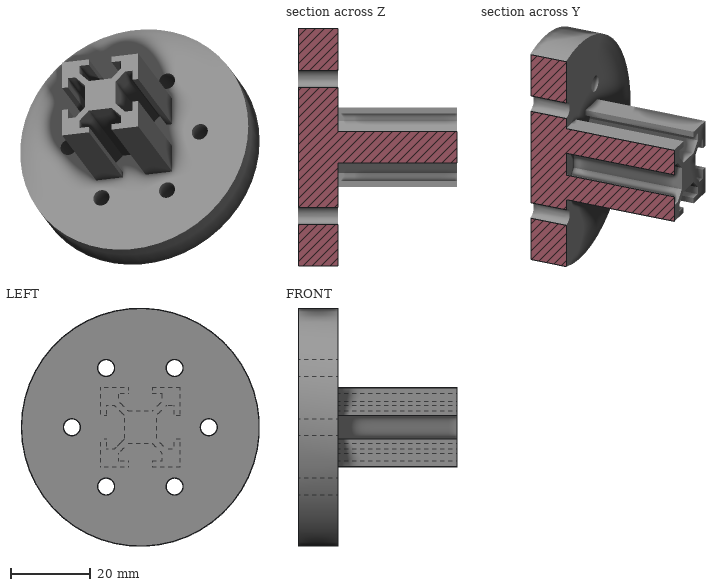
import cadquery as cq
import math

plate_diameter = 60.0
plate_thickness = plate_diameter / 6

hole_count = 6
hole_diameter = 4.2
hole_circle_diameter = 34.5

bar_side = plate_diameter / 3
bar_length = plate_diameter / 2
slot_width = 6.0
lip_thickness = 1.5
pocket_width = 11.0
web_thickness = 1.5


def make_plate():
    plate = cq.Workplane("YZ").circle(plate_diameter / 2).extrude(plate_thickness)
    holes = (
        cq.Workplane("YZ")
        .polarArray(hole_circle_diameter / 2, 0, 360, hole_count)
        .circle(hole_diameter / 2)
        .extrude(plate_thickness)
    )
    return plate.cut(holes)


def make_slot():
    """T-slot on the +Z side of the bar, with 45 degree flanks along the diagonal webs.

    The floor is as wide as the slot opening.
    """
    outer = bar_side / 2
    lip_bottom = outer - lip_thickness
    half_slot = slot_width / 2
    web_offset = web_thickness / math.sqrt(2)
    half_pocket = pocket_width / 2
    right_side = [
        (half_slot, outer),
        (half_slot, lip_bottom),
        (half_pocket, lip_bottom),
        (half_pocket, half_pocket + web_offset),
        (half_slot, half_slot + web_offset),
    ]
    left_side = [(-y, z) for y, z in reversed(right_side)]
    profile = cq.Workplane("YZ", origin=(plate_thickness, 0, 0)).polyline(right_side + left_side)
    return profile.close().extrude(bar_length)


def make_bar():
    bar = (
        cq.Workplane("YZ", origin=(plate_thickness, 0, 0))
        .rect(bar_side, bar_side)
        .extrude(bar_length)
    )
    slot = make_slot()
    for angle in (0, 90, 180, 270):
        bar = bar.cut(slot.rotate((0, 0, 0), (1, 0, 0), angle))
    return bar


result = make_plate().union(make_bar())